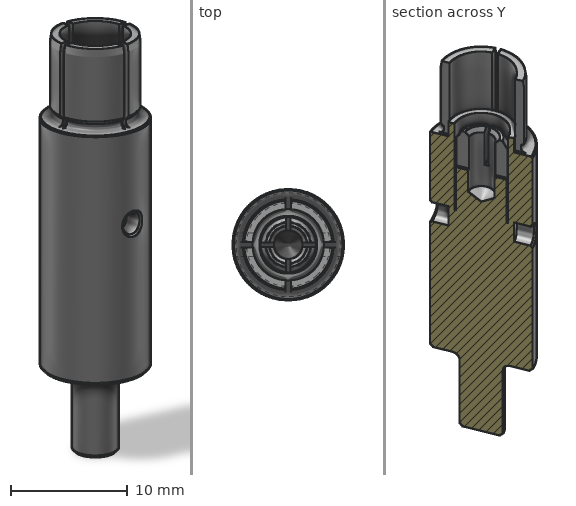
import cadquery as cq
import math

total_height = 38.18
body_bottom = 7.67
body_top = 30.6

body_radius = 4.77
body_top_chamfer = 0.1
body_bottom_chamfer = 0.3

pin_radius = 2.02
pin_chamfer = 0.3
pin_fillet = 0.7

collet_radius = 3.9
collet_bottom = 31.57
collet_lead_in_height = 0.73
collet_lead_in_depth = 0.1
slot_width = 0.5

groove_radius = 3.6
groove_top = 31.25
groove_fillet = 0.42

core_radius = 3.05
core_bottom = 8.4
core_top = 32.07
well_radius = 2.5
well_floor = 22.9

contact_radius = 2.35
contact_top = 31.3
crown_outer_radius = 1.9
crown_inner_radius = 1.6
crown_height = 0.75
contact_bore_radius = 1.22
contact_bore_chamfer = crown_inner_radius - contact_bore_radius
contact_bore_floor = 25.2
drill_tip_angle = 118.0
contact_bore_tip = contact_bore_floor - contact_bore_radius / math.tan(math.radians(drill_tip_angle / 2))
contact_slot_width = 0.4
contact_slot_floor = 27.5

side_hole_radius = 1.0
side_hole_chamfer = 0.2
side_hole_height = 22.05


def revolve_profile(profile):
    """Revolve a closed (radius, z) profile about the Z axis."""
    return profile.close().revolve(360, (0, 0, 0), (0, 1, 0))


def cross_slots(width, floor, top, reach):
    """Two crossing slots, aligned with X and Y, between two heights."""
    slot = cq.Workplane("XY", origin=(0, 0, floor)).box(
        2 * reach, width, top - floor, centered=(True, True, False)
    )
    return slot.union(slot.rotate((0, 0, 0), (0, 0, 1), 90))


def make_shell():
    """Pin, body, relief groove and collet as one turned outline, solid inside."""
    profile = (
        cq.Workplane("XZ")
        .moveTo(0, 0)
        .lineTo(pin_radius - pin_chamfer, 0)
        .lineTo(pin_radius, pin_chamfer)
        .lineTo(pin_radius, body_bottom - pin_fillet)
        .radiusArc((pin_radius + pin_fillet, body_bottom), pin_fillet)
        .lineTo(body_radius - body_bottom_chamfer, body_bottom)
        .lineTo(body_radius, body_bottom + body_bottom_chamfer)
        .lineTo(body_radius, body_top - body_top_chamfer)
        .lineTo(body_radius - body_top_chamfer, body_top)
        .lineTo(groove_radius + groove_fillet, body_top)
        .radiusArc((groove_radius, body_top + groove_fillet), groove_fillet)
        .lineTo(groove_radius, groove_top)
        .lineTo(collet_radius, collet_bottom)
        .lineTo(collet_radius, total_height - collet_lead_in_height)
        .lineTo(collet_radius - collet_lead_in_depth, total_height)
        .lineTo(0, total_height)
    )
    return revolve_profile(profile)


def make_core_bore():
    """Bore that opens the collet and takes the core."""
    depth = total_height - core_bottom
    return cq.Workplane("XY", origin=(0, 0, core_bottom)).circle(core_radius).extrude(depth)


def drill_side_holes(shell):
    """Drill through both walls along X and chamfer the rims on the body surface."""
    drill = (
        cq.Workplane("YZ", origin=(-body_radius, 0, side_hole_height))
        .circle(side_hole_radius)
        .extrude(2 * body_radius)
    )
    drilled = shell.cut(drill)
    rim_depth = body_radius - math.sqrt(body_radius**2 - side_hole_radius**2)
    for side in (-1, 1):
        rim = cq.selectors.BoxSelector(
            (side * (body_radius - 2 * rim_depth), -side_hole_radius, side_hole_height - side_hole_radius),
            (side * body_radius, side_hole_radius, side_hole_height + side_hole_radius),
        )
        drilled = drilled.edges(rim).chamfer(side_hole_chamfer)
    return drilled


def make_core():
    """Solid core with the well for the contact."""
    core = cq.Workplane("XY", origin=(0, 0, core_bottom)).circle(core_radius).extrude(core_top - core_bottom)
    well = cq.Workplane("XY", origin=(0, 0, well_floor)).circle(well_radius).extrude(core_top - well_floor)
    return core.cut(well)


def make_contact():
    """Slotted socket with a tapered crown and a drilled, cone-ended bore."""
    profile = (
        cq.Workplane("XZ")
        .moveTo(0, well_floor)
        .lineTo(contact_radius, well_floor)
        .lineTo(contact_radius, contact_top - crown_height)
        .lineTo(crown_outer_radius, contact_top)
        .lineTo(crown_inner_radius, contact_top)
        .lineTo(contact_bore_radius, contact_top - contact_bore_chamfer)
        .lineTo(contact_bore_radius, contact_bore_floor)
        .lineTo(0, contact_bore_tip)
    )
    slots = cross_slots(contact_slot_width, contact_slot_floor, contact_top, contact_radius)
    return revolve_profile(profile).cut(slots)


shell = drill_side_holes(make_shell().cut(make_core_bore()))
shell = shell.cut(cross_slots(slot_width, body_top, total_height, body_radius))
result = shell.union(make_core()).union(make_contact())